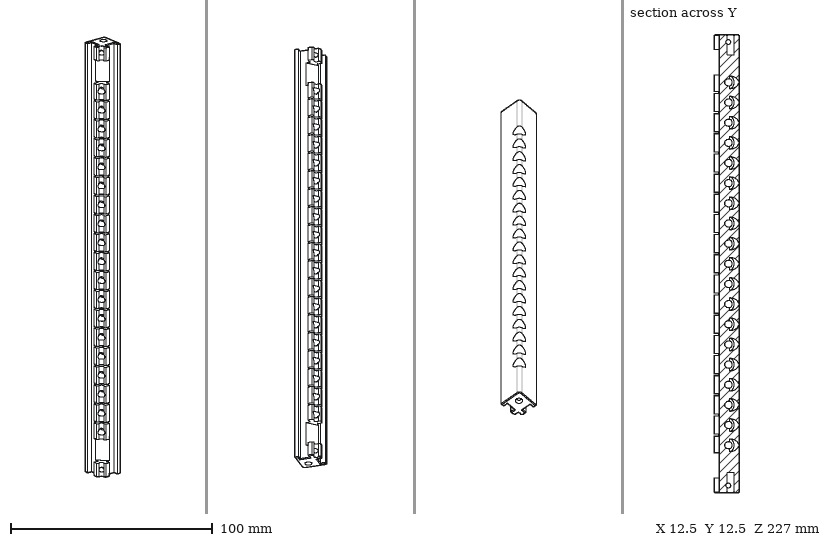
import cadquery as cq
import math

outer = 12.5
length = 227.0
core = 10.0
wall = 2.0
slot_width = 5.0
corner_radius = 1.5
tip_chamfer = 1.0
end_chamfer = 0.5
rod_diameter = 2.5
rod_offset = 0.7

pitch = 10.0
hole_count = 19
screw_diameter = 3.5
head_diameter = 6.1
set_screw_diameter = 2.5

end_hole_diameter = 3.5
end_hole_depth = 10.0
end_hole_offset = 4.3

slit_height = 1.0

head_floor = 6.8
pocket_floor = 10.7
slit_floor = 12.3
full_depth = math.sqrt(2) * outer

slot_floor = outer - core
inner_arm = wall + slot_width
first_hole = (length - (hole_count - 1) * pitch) / 2
pocket_z = first_hole - pitch
set_screw_z = pocket_z - pitch


def diagonal_plane(depth, z):
    """Plane square to the diagonal at the given depth, facing the inner arms."""
    step = depth / math.sqrt(2)
    return cq.Plane(origin=(step, outer - step, z), xDir=(1, 1, 0), normal=(1, -1, 0))


def diagonal_hole(diameter, start, end, z):
    """Cylinder along the diagonal between two depths."""
    return cq.Workplane(diagonal_plane(start, z)).circle(diameter / 2).extrude(end - start)


def diagonal_notch(height, floor, z):
    """Block that clears everything deeper than the floor, over a height centred on z."""
    return cq.Workplane(diagonal_plane(floor, z)).rect(2 * outer, height).extrude(full_depth)


def at_both_ends(cutter):
    """The cutter near the lower end together with its copy at the upper end."""
    return cutter, cutter.mirror("XY").translate((0, 0, length))


def make_rail():
    half_outline = [
        (0, 0),
        (wall, 0),
        (wall, slot_floor),
        (inner_arm, slot_floor),
        (inner_arm, 0),
        (core - tip_chamfer, 0),
        (core, tip_chamfer),
    ]
    inner_corner = [(core, slot_floor)]
    mirrored_half = [(outer - y, outer - x) for x, y in reversed(half_outline)]
    outline = half_outline + inner_corner + mirrored_half + [(0, outer)]
    bar = cq.Workplane("XY").polyline(outline).close().extrude(length)
    bar = bar.edges("|Z").edges("<X").edges(">Y").fillet(corner_radius)
    bar = bar.faces("<Z or >Z").chamfer(end_chamfer)
    groove = (
        cq.Workplane("XY")
        .center(core + rod_offset, slot_floor - rod_offset)
        .circle(rod_diameter / 2)
        .extrude(length)
    )
    return bar.cut(groove)


def cut_screw_holes(bar):
    for index in range(hole_count):
        z = first_hole + index * pitch
        bar = bar.cut(diagonal_hole(head_diameter, 0, head_floor, z))
        bar = bar.cut(diagonal_hole(screw_diameter, 0, full_depth, z))
    return bar


def cut_slits(bar):
    for index in range(hole_count - 1):
        z = first_hole + (index + 0.5) * pitch
        bar = bar.cut(diagonal_notch(slit_height, slit_floor, z))
    return bar


def cut_ends(bar):
    end_hole = (
        cq.Workplane("XY")
        .center(end_hole_offset, outer - end_hole_offset)
        .circle(end_hole_diameter / 2)
        .extrude(end_hole_depth)
    )
    end_hole_axis = math.sqrt(2) * end_hole_offset
    set_screw = diagonal_hole(set_screw_diameter, end_hole_axis, full_depth, set_screw_z)
    pocket = diagonal_notch(outer, pocket_floor, pocket_z)
    for feature in (end_hole, set_screw, pocket):
        for cutter in at_both_ends(feature):
            bar = bar.cut(cutter)
    return bar


result = cut_ends(cut_slits(cut_screw_holes(make_rail())))